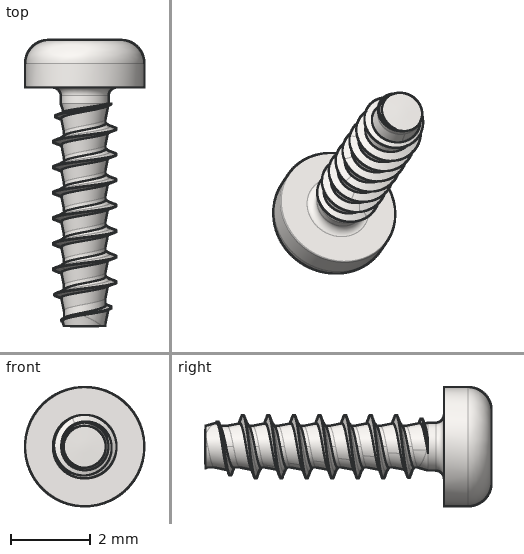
import cadquery as cq
import math

total_length = 7.2
head_diameter = 3.0
head_height = 1.2
head_top_radius = 0.6
head_rim_radius = 0.02

neck_radius = 0.605
neck_fillet = 0.2
neck_length = 0.395
neck_cone_angle = 17.0

pitch = 0.64
core_radius = 0.525
step_radius = 0.605
step_rise = 0.04
step_taper = 0.395

crest_radius = 0.8
crest_width = 0.015
knee_radius = 0.63
knee_offset = 0.065
foot_offset = 0.14
run_in_length = 0.55
run_in_angle = 13.5
run_out_length = 0.9
run_out_angle = 15.5

tip_radius = 0.525
tip_angle = 15.5
tip_cone_height = 0.015

burial_depth = 0.02
overrun = 0.145

head_radius = head_diameter / 2
shank_length = total_length - head_height
neck_end = -neck_length
tip_edge = -shank_length + tip_cone_height
buried_radius = core_radius - burial_depth


def make_head():
    head = cq.Workplane("XY").circle(head_radius).extrude(head_height)
    head = head.faces(">Z").edges().fillet(head_top_radius)
    return head.faces("<Z").edges().fillet(head_rim_radius)


def make_neck():
    """Plain neck, filleted into the head and coned down to the core."""
    neck_cone_length = (neck_radius - buried_radius) / math.tan(math.radians(neck_cone_angle))
    fillet_radius = neck_radius + neck_fillet
    return (
        cq.Workplane("XZ")
        .moveTo(0, head_rim_radius)
        .lineTo(fillet_radius, head_rim_radius)
        .lineTo(fillet_radius, 0)
        .radiusArc((neck_radius, -neck_fillet), -neck_fillet)
        .lineTo(neck_radius, neck_end)
        .lineTo(buried_radius, neck_end - neck_cone_length)
        .lineTo(0, neck_end - neck_cone_length)
        .close()
        .revolve(360, (0, 0, 0), (0, 1, 0))
    )


def make_helical_solid(section, stations):
    """Right-hand helical solid through stations of (height, inward shift of the section).

    The section lists (radius, axial offset) corners. It lies on the +X side at the neck end.
    Each stretch between stations is built in pieces of at most one turn.
    """
    cylinder_angle = 360

    def turn_angle(z):
        return 360 * (z - neck_end) / pitch

    def end_face(z, shift):
        corners = [cq.Vector(radius - shift, 0, z + offset) for radius, offset in section]
        face = cq.Face.makeFromWires(cq.Wire.makePolygon(corners, close=True))
        return face.rotate(cq.Vector(0, 0, 0), cq.Vector(0, 0, 1), turn_angle(z))

    def helix(radius, offset, z, height, cone_angle):
        stretch = 1 / math.cos(math.radians(cone_angle))
        center = cq.Vector(0, 0, z + offset)
        axis = cq.Vector(0, 0, 1)
        wire = cq.Wire.makeHelix(pitch * stretch, height * stretch, radius, center, axis, cone_angle)
        return wire.rotate(cq.Vector(0, 0, 0), axis, turn_angle(z))

    faces = [end_face(*stations[0]), end_face(*stations[-1])]
    for (z_start, shift_start), (z_end, shift_end) in zip(stations, stations[1:]):
        growth = (shift_start - shift_end) / (z_end - z_start)
        cone_angle = math.degrees(math.atan(growth)) or cylinder_angle
        pieces = math.ceil((z_end - z_start) / pitch)
        height = (z_end - z_start) / pieces
        for piece in range(pieces):
            rise = piece * height
            edges = [
                helix(radius - shift_start + growth * rise, offset, z_start + rise, height, cone_angle)
                for radius, offset in section
            ]
            for first, second in zip(edges, edges[1:] + edges[:1]):
                faces.append(cq.Face.makeRuledSurface(first, second))
    return cq.Workplane(cq.Solid.makeSolid(cq.Shell.makeShell(faces)))


def make_core():
    """Cylinder with the helical step, trimmed by the cone and point of the tip."""
    burial_ratio = (step_radius - buried_radius) / (step_radius - core_radius)
    section = [
        (buried_radius, step_rise * burial_ratio),
        (step_radius, 0),
        (buried_radius, -step_taper * burial_ratio),
    ]
    stations = [(-shank_length - pitch, 0), (neck_end + pitch, 0)]
    cylinder = cq.Workplane("XY").circle(core_radius).extrude(-shank_length)

    tip_cone_length = (crest_radius - tip_radius) / math.tan(math.radians(tip_angle))
    envelope = (
        cq.Workplane("XZ")
        .moveTo(0, neck_end)
        .lineTo(crest_radius, neck_end)
        .lineTo(crest_radius, tip_edge + tip_cone_length)
        .lineTo(tip_radius, tip_edge)
        .lineTo(0, -shank_length)
        .close()
        .revolve(360, (0, 0, 0), (0, 1, 0))
    )
    return cylinder.union(make_helical_solid(section, stations)).intersect(envelope)


def make_thread():
    """Sharp fin that sinks into the shank at both ends."""
    flank_slope = (knee_offset - crest_width / 2) / (crest_radius - knee_radius)
    foot_slope = (foot_offset - knee_offset) / (knee_radius - core_radius)
    section = [
        (buried_radius, foot_offset + foot_slope * burial_depth),
        (knee_radius, knee_offset),
        (crest_radius, crest_width / 2),
        (crest_radius, -crest_width / 2),
        (buried_radius, -crest_width / 2 - flank_slope * (crest_radius - buried_radius)),
    ]
    run_in_drop = (run_in_length + overrun) * math.tan(math.radians(run_in_angle))
    run_out_drop = (run_out_length + overrun) * math.tan(math.radians(run_out_angle))
    stations = [
        (tip_edge - overrun, run_out_drop),
        (tip_edge + run_out_length, 0),
        (neck_end - run_in_length, 0),
        (neck_end + overrun, run_in_drop),
    ]
    sleeve = cq.Workplane("XY").workplane(offset=neck_end).circle(head_radius).extrude(tip_edge - neck_end)
    return make_helical_solid(section, stations).intersect(sleeve)


shank = make_core().union(make_thread()).union(make_neck())
screw = make_head().union(shank)

result = screw.rotate((0, 0, 0), (1, 0, 0), -90)